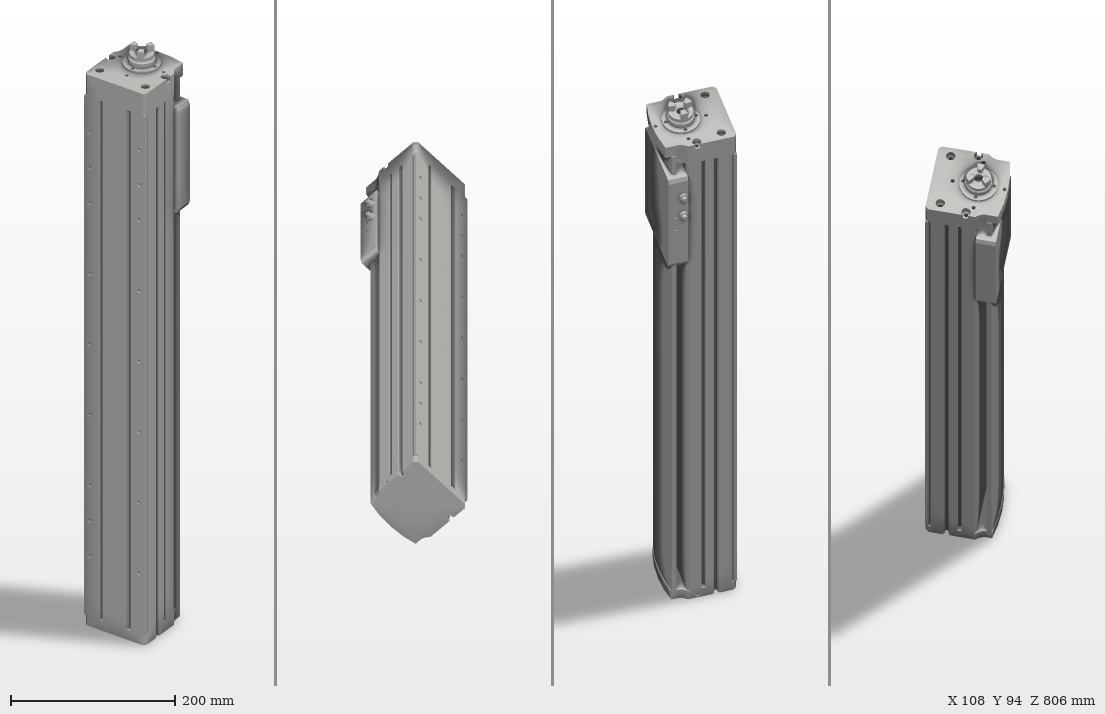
import cadquery as cq
import math


total_height = 806.0
half_width = 45.0
foot_height = 14.5
head_bottom = 749.5
head_top = 780.0
profile_top = 64.0
shaft_y = 58.0

cap_corner = 4.0
neck_half_width = 39.5
neck_start_y = 62.0
neck_middle = (41.0, 68.0)
neck_end_y = 72.5
crown_rise = 5.0
head_crown_y = 94.0
foot_crown_y = 87.0
ear_bottom = 762.0
bolt_places = [(-40.0, 50.0), (40.0, 50.0), (-34.0, 17.0), (34.0, 17.0)]
bolt_head_diameter = 11.0
bolt_head_depth = 7.0
bolt_diameter = 5.15
bolt_depth = 16.0
flange_thread_diameter = 5.0
flange_thread_radius = 32.0
flange_thread_depth = 8.0
foot_hole_diameter = 6.0
foot_hole_y = 50.0
foot_hole_z = 5.0
foot_hole_depth = 8.0

slot_width = 5.0
slot_depth = 6.5
side_slot_y = 43.0
front_slot_x = 20.0
wide_slot_width = 7.0
wide_slot_y = 26.5
wide_slot_step = 2.5
front_wide_slot_width = 8.0
front_channel_width = 3.0
corner_groove_width = 2.5
corner_groove_y = 6.0
profile_bevel_x = 4.0
profile_bevel_y = 2.5

mount_pitch = 100.0
mount_count = 7
mount_x = 36.0
mount_diameter = 5.15
mount_depth = 6.5

cover_half_width = 40.0
cover_bottom = 76.0
cover_edge_y = 81.0
cover_crown_y = 85.5
cover_start = 7.0
cover_screw_diameter = 8.0
cover_screw_height = 2.5
cover_screw_z = 755.0

slide_half_width = 50.0
slide_bottom = 583.0
slide_length = 149.0
slide_top_y = 89.0
slide_chamfer_z = 6.0
slide_chamfer_x = 2.5
nipple_heights = (670.5, 701.0)
nipple_y = 70.0
nipple_base_diameter = 10.0
nipple_base_length = 3.0
nipple_tip_diameter = 6.0
nipple_reach = 8.0
slide_hole_heights = (646.0, 667.0)
slide_hole_y = 79.0
slide_hole_diameter = 4.0
slide_hole_depth = 4.0

flange_diameter = 47.0
flange_height = 3.0
flange_hole_diameter = 4.9
flange_hole_radius = 19.0
coupling_base_diameter = 33.0
coupling_base_top = 792.0
coupling_base_chamfer = 2.5
coupling_hub_diameter = 31.0
coupling_hub_top = 797.0
coupling_bore_diameter = 11.0
jaw_inner_radius = 7.0
jaw_half_angle = 18.0
jaw_angles = (60.0, 180.0, 300.0)


def box(x_range, y_range, z_range):
    size = [end - start for start, end in (x_range, y_range, z_range)]
    corner = (x_range[0], y_range[0], z_range[0])
    return cq.Workplane("XY").box(*size, centered=False).translate(corner)


def rod_z(x, y, bottom, top, diameter):
    return cq.Workplane("XY", origin=(x, y, bottom)).circle(diameter / 2).extrude(top - bottom)


def rod_y(x, z, start, end, diameter):
    return cq.Workplane("XZ", origin=(x, start, z)).circle(diameter / 2).extrude(start - end)


def rod_x(y, z, start, end, diameter):
    return cq.Workplane("YZ", origin=(start, y, z)).circle(diameter / 2).extrude(end - start)


def around_shaft(radius):
    """Four places on a circle about the drive axis, one on each side."""
    turns = [math.radians(90 * i) for i in range(4)]
    return [(radius * math.cos(turn), shaft_y + radius * math.sin(turn)) for turn in turns]


def cap_block(bottom, top, crown_y):
    """End cap with a narrowed neck and a domed top."""
    crown_edge_y = crown_y - crown_rise
    outline = (
        cq.Workplane("XY", origin=(0, 0, bottom))
        .moveTo(-half_width + cap_corner, 0)
        .lineTo(half_width - cap_corner, 0)
        .lineTo(half_width, cap_corner)
        .lineTo(half_width, neck_start_y)
        .lineTo(*neck_middle)
        .lineTo(neck_half_width, neck_end_y)
        .lineTo(neck_half_width, crown_edge_y)
        .threePointArc((0, crown_y), (-neck_half_width, crown_edge_y))
        .lineTo(-neck_half_width, neck_end_y)
        .lineTo(-neck_middle[0], neck_middle[1])
        .lineTo(-half_width, neck_start_y)
        .lineTo(-half_width, cap_corner)
        .close()
    )
    return outline.extrude(top - bottom)


def side_slot(side, middle_y, width, depth, z_range):
    """Rectangular groove along Z in one side face; side is -1 or 1."""
    x_range = sorted((side * (half_width - depth), side * half_width))
    return box(x_range, (middle_y - width / 2, middle_y + width / 2), z_range)


def wide_side_slot(side, z_range):
    """Lower side slot: a wide mouth over a narrower channel."""
    mouth = side_slot(side, wide_slot_y, wide_slot_width, wide_slot_step, z_range)
    return mouth.union(side_slot(side, wide_slot_y, slot_width, slot_depth, z_range))


def front_slot(middle_x, width, depth, z_range):
    return box((middle_x - width / 2, middle_x + width / 2), (0, depth), z_range)


def make_profile():
    z_range = (foot_height, head_bottom)
    half_outline = [
        (half_width, 0),
        (half_width, profile_top - profile_bevel_y),
        (half_width - profile_bevel_x, profile_top),
    ]
    outline = half_outline + [(-x, y) for x, y in reversed(half_outline)]
    body = cq.Workplane("XY", origin=(0, 0, foot_height)).polyline(outline).close()
    body = body.extrude(head_bottom - foot_height)
    for side in (-1, 1):
        body = body.cut(side_slot(side, side_slot_y, slot_width, slot_depth, z_range))
        body = body.cut(wide_side_slot(side, z_range))
        body = body.cut(side_slot(side, corner_groove_y, corner_groove_width, corner_groove_width, z_range))
    body = body.cut(front_slot(-front_slot_x, slot_width, slot_depth, z_range))
    body = body.cut(front_slot(front_slot_x, front_wide_slot_width, wide_slot_step, z_range))
    body = body.cut(front_slot(front_slot_x, front_channel_width, slot_depth, z_range))

    steps = [i + 1 for i in range(mount_count)] + [mount_count - 0.5]
    places = [(side * mount_x, step * mount_pitch) for side in (-1, 1) for step in steps]
    places.append((-mount_x, 1.5 * mount_pitch))
    for x, z in places:
        body = body.cut(rod_y(x, z, 0, mount_depth, mount_diameter))
    return body


def make_head():
    body = cap_block(head_bottom, head_top, head_crown_y)
    body = body.cut(box((-half_width, half_width), (cover_bottom, head_crown_y), (head_bottom, ear_bottom)))
    for x, y in bolt_places:
        body = body.cut(rod_z(x, y, head_top - bolt_head_depth, head_top, bolt_head_diameter))
        body = body.cut(rod_z(x, y, head_top - bolt_depth, head_top, bolt_diameter))
    for x, y in around_shaft(flange_thread_radius):
        body = body.cut(rod_z(x, y, head_top - flange_thread_depth, head_top, flange_thread_diameter))
    return body


def make_foot(cover):
    body = cap_block(0, foot_height, foot_crown_y).cut(cover)
    for side in (-1, 1):
        body = body.cut(wide_side_slot(side, (0, foot_height)))
    hole_end = -half_width + foot_hole_depth
    return body.cut(rod_x(foot_hole_y, foot_hole_z, -half_width, hole_end, foot_hole_diameter))


def make_cover():
    strip = (
        cq.Workplane("XY", origin=(0, 0, cover_start))
        .moveTo(-cover_half_width, cover_bottom)
        .lineTo(cover_half_width, cover_bottom)
        .lineTo(cover_half_width, cover_edge_y)
        .threePointArc((0, cover_crown_y), (-cover_half_width, cover_edge_y))
        .close()
        .extrude(ear_bottom - cover_start)
    )
    screw_top = cover_crown_y + cover_screw_height
    screw_head = rod_y(0, cover_screw_z, cover_bottom, screw_top, cover_screw_diameter)
    return strip.union(screw_head)


def make_slide(cover):
    """Slide with a passage for the cover strip, chamfered side edges and two grease nipples."""
    slide_top = slide_bottom + slide_length
    inner_x = slide_half_width - slide_chamfer_x
    half_outline = [
        (inner_x, slide_bottom),
        (slide_half_width, slide_bottom + slide_chamfer_z),
        (slide_half_width, slide_top - slide_chamfer_z),
        (inner_x, slide_top),
    ]
    outline = half_outline + [(-x, z) for x, z in reversed(half_outline)]
    body = cq.Workplane("XZ", origin=(0, profile_top, 0)).polyline(outline).close()
    body = body.extrude(profile_top - slide_top_y).cut(cover)
    for z in nipple_heights:
        base_end = -slide_half_width - nipple_base_length
        tip_end = -slide_half_width - nipple_reach
        body = body.union(rod_x(nipple_y, z, -slide_half_width, base_end, nipple_base_diameter))
        body = body.union(rod_x(nipple_y, z, -slide_half_width, tip_end, nipple_tip_diameter))
    for z in slide_hole_heights:
        hole_end = -slide_half_width + slide_hole_depth
        body = body.cut(rod_x(slide_hole_y, z, -slide_half_width, hole_end, slide_hole_diameter))
    return body


def make_flange():
    top = head_top + flange_height
    body = rod_z(0, shaft_y, head_top, top, flange_diameter)
    for x, y in around_shaft(flange_hole_radius):
        body = body.cut(rod_z(x, y, head_top, top, flange_hole_diameter))
    return body


def jaw_point(radius, degrees):
    angle = math.radians(degrees)
    return (radius * math.cos(angle), radius * math.sin(angle))


def coupling_jaw(middle_angle):
    """Upright claw shaped as a ring sector."""
    outer_radius = coupling_hub_diameter / 2
    first = middle_angle - jaw_half_angle
    last = middle_angle + jaw_half_angle
    return (
        cq.Workplane("XY", origin=(0, shaft_y, coupling_hub_top))
        .moveTo(*jaw_point(jaw_inner_radius, first))
        .lineTo(*jaw_point(outer_radius, first))
        .threePointArc(jaw_point(outer_radius, middle_angle), jaw_point(outer_radius, last))
        .lineTo(*jaw_point(jaw_inner_radius, last))
        .threePointArc(jaw_point(jaw_inner_radius, middle_angle), jaw_point(jaw_inner_radius, first))
        .close()
        .extrude(total_height - coupling_hub_top)
    )


def make_coupling():
    bottom = head_top + flange_height
    body = rod_z(0, shaft_y, bottom, coupling_base_top, coupling_base_diameter)
    body = body.faces(">Z").chamfer(coupling_base_chamfer)
    body = body.union(rod_z(0, shaft_y, coupling_base_top, coupling_hub_top, coupling_hub_diameter))
    for angle in jaw_angles:
        body = body.union(coupling_jaw(angle))
    return body.cut(rod_z(0, shaft_y, bottom, coupling_hub_top, coupling_bore_diameter))


profile = make_profile()
head = make_head()
cover = make_cover()
foot = make_foot(cover)
slide = make_slide(cover)
flange = make_flange()
coupling = make_coupling()

result = cq.Compound.makeCompound(
    [
        profile.val(),
        head.val(),
        foot.val(),
        cover.val(),
        slide.val(),
        flange.val(),
        coupling.val(),
    ]
)